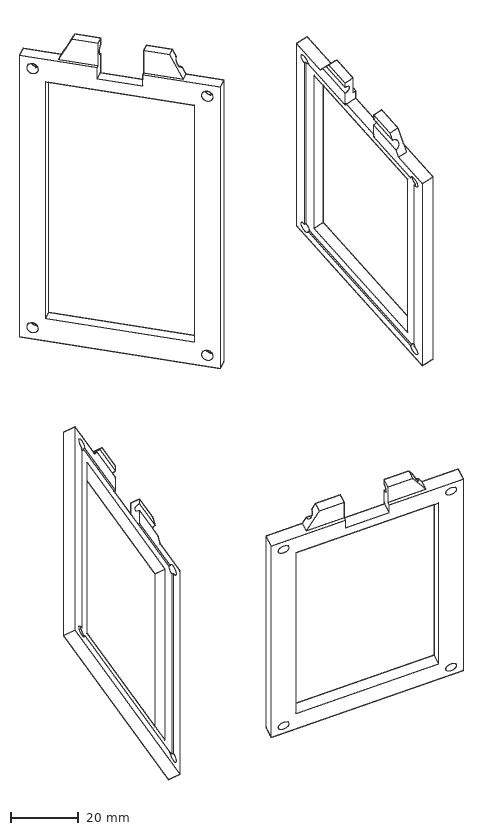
import cadquery as cq

frame_width = 61.8
frame_height = 100.0
frame_thickness = 4.0
border = 8.0
hole_diameter = 3.5
hole_inset = border / 2

notch_width = 14.0
notch_depth = border / 2

tab_height = 8.0
tab_base_width = 12.2
tab_top_width = 8.0
tab_thickness = 3.0

groove_diameter = 3.2

recess_inset = border / 2
recess_depth = 0.5

frame_top = frame_height / 2
back_face = frame_thickness / 2
cut_margin = 1.0


def make_frame():
    frame = cq.Workplane("XY").box(frame_width, frame_thickness, frame_height)
    window = cq.Workplane("XY").box(
        frame_width - 2 * border,
        frame_thickness + 2 * cut_margin,
        frame_height - 2 * border,
    )
    return frame.cut(window)


def make_tab(side):
    """Tab with a vertical inner edge and a sloped outer edge; side is -1 or 1."""
    inner = side * notch_width / 2
    outer_base = inner + side * tab_base_width
    outer_top = inner + side * tab_top_width
    tab_top = frame_top + tab_height
    return (
        cq.Workplane("XZ", origin=(0, back_face, 0))
        .moveTo(inner, frame_top)
        .lineTo(outer_base, frame_top)
        .lineTo(outer_top, tab_top)
        .lineTo(inner, tab_top)
        .close()
        .extrude(tab_thickness)
    )


def make_notch():
    return cq.Workplane("XY").box(
        notch_width, frame_thickness + 2 * cut_margin, 2 * notch_depth
    ).translate((0, 0, frame_top))


def make_corner_holes():
    return (
        cq.Workplane("XZ", origin=(0, back_face + cut_margin, 0))
        .rect(frame_width - 2 * hole_inset, frame_height - 2 * hole_inset, forConstruction=True)
        .vertices()
        .circle(hole_diameter / 2)
        .extrude(frame_thickness + 2 * cut_margin)
    )


def make_groove():
    groove_height = frame_top + tab_height / 2
    return (
        cq.Workplane("YZ", origin=(0, back_face, groove_height))
        .circle(groove_diameter / 2)
        .extrude(frame_width / 2, both=True)
    )


def make_recess():
    return cq.Workplane("XY").box(
        frame_width - 2 * recess_inset,
        2 * recess_depth,
        frame_height - 2 * recess_inset,
    ).translate((0, back_face, 0))


result = make_frame()
for side in (-1, 1):
    result = result.union(make_tab(side))
for cutter in (make_notch(), make_corner_holes(), make_groove(), make_recess()):
    result = result.cut(cutter)